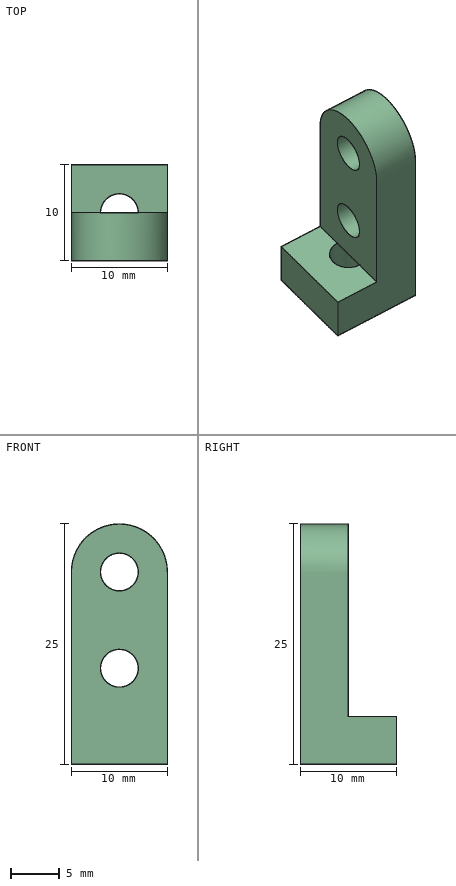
import cadquery as cq

width = 10.0
foot_depth = 10.0
height = 25.0
thickness = 5.0
hole_diameter = 3.9
lower_hole_height = 10.0

top_radius = width / 2
arc_center_height = height - top_radius
plate_hole_heights = [lower_hole_height, arc_center_height]


def upright_plate():
    """Round-topped plate whose front face lies on Y = 0."""
    return (
        cq.Workplane("XZ")
        .moveTo(-width / 2, 0)
        .lineTo(width / 2, 0)
        .lineTo(width / 2, arc_center_height)
        .threePointArc((0, height), (-width / 2, arc_center_height))
        .close()
        .extrude(-thickness)
    )


def foot():
    """Square block at the base, extending behind the plate."""
    return cq.Workplane("XY").box(width, foot_depth, thickness, centered=(True, False, False))


def plate_holes():
    """Cylinders along Y, one on the arc center and one below it."""
    centers = [(0, z) for z in plate_hole_heights]
    return cq.Workplane("XZ").pushPoints(centers).circle(hole_diameter / 2).extrude(-thickness)


def foot_hole():
    """Vertical cylinder through the center of the foot; its front half runs under the plate."""
    return (
        cq.Workplane("XY")
        .center(0, foot_depth / 2)
        .circle(hole_diameter / 2)
        .extrude(thickness)
    )


result = upright_plate().union(foot()).cut(plate_holes()).cut(foot_hole())